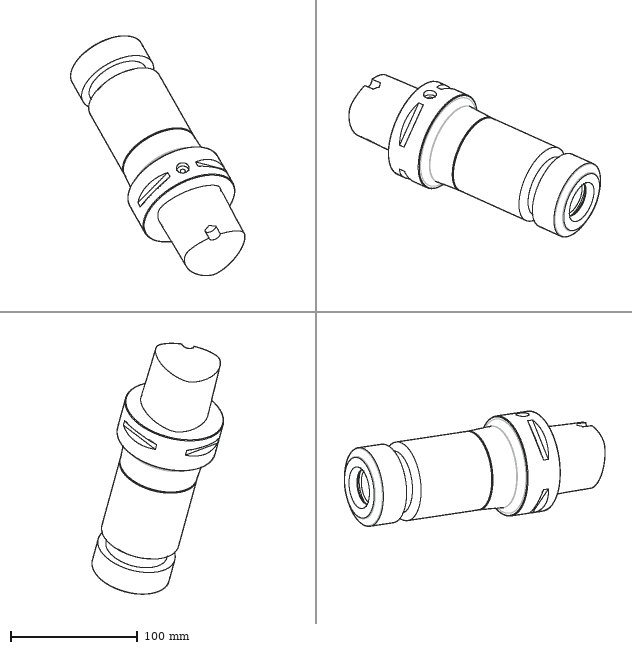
import cadquery as cq
import math

length = 208.0
nut_bevel_end = 4.4
nut_end = 25.4
body_start = 34.3
body_bevel_end = 38.5
relief_start = 102.5
relief_end = 103.5
neck_end = 124.4
fillet_start = 125.0
flange_start = 130.0
flange_end = 160.2
flange_middle = 147.9

nut_face_dia = 48.5
nut_bevel_dia = 50.0
body_dia = 63.0
neck_end_dia = 65.3
flange_dia = 80.0
flange_radius = flange_dia / 2
edge_break = 0.6
relief_depth = 0.2

mouth_dia = 33.3
bore_dia = 28.3
mouth_depth = 5.8
lip_end = 6.7
undercut_end = 9.8
undercut_dia = 35.4
bore_end = 52.0

shank_root_radius = 27.5
shank_tip_radius = 26.5
lobe_height = 2.3
lobe_count = 3
curve_points = 48

groove_count = 4
groove_floor_width = 4.4
groove_top_width = 8.7
groove_floor_distance = 35.5
cut_clearance = 2.0

recess_dia = 10.0
recess_depth = 4.5
pilot_dia = 4.0
pilot_depth = 2.0

notch_dia = 9.8
notch_length = 8.1
notch_tip_length = 2.7
notch_axis_height = 24.1


def revolve_about_x(profile):
    return profile.close().revolve(360, (0, 0, 0), (1, 0, 0))


def turned_body():
    nut_face_radius = nut_face_dia / 2
    bevel_radius = nut_bevel_dia / 2
    body_radius = body_dia / 2
    neck_end_radius = neck_end_dia / 2
    fillet_radius = flange_start - fillet_start
    fillet_outer = neck_end_radius + fillet_radius
    arc_x = fillet_start + fillet_radius * math.sin(math.pi / 4)
    arc_r = fillet_outer - fillet_radius * math.cos(math.pi / 4)
    profile = (
        cq.Workplane("XY")
        .lineTo(0, nut_face_radius)
        .lineTo(edge_break, bevel_radius)
        .lineTo(nut_bevel_end - edge_break, body_radius - edge_break)
        .lineTo(nut_bevel_end, body_radius)
        .lineTo(nut_end, body_radius)
        .lineTo(nut_end, bevel_radius)
        .lineTo(body_start, bevel_radius)
        .lineTo(body_bevel_end, body_radius)
        .lineTo(relief_start, body_radius)
        .lineTo(relief_start, body_radius - relief_depth)
        .lineTo(relief_end, body_radius - relief_depth)
        .lineTo(relief_end, body_radius)
        .lineTo(neck_end, neck_end_radius)
        .lineTo(fillet_start, neck_end_radius)
        .threePointArc((arc_x, arc_r), (flange_start, fillet_outer))
        .lineTo(flange_start, flange_radius - edge_break)
        .lineTo(flange_start + edge_break, flange_radius)
        .lineTo(flange_end - edge_break, flange_radius)
        .lineTo(flange_end, flange_radius - edge_break)
        .lineTo(flange_end, 0)
    )
    return revolve_about_x(profile)


def collet_mouth():
    bore_radius = bore_dia / 2
    profile = (
        cq.Workplane("XY")
        .lineTo(0, mouth_dia / 2)
        .lineTo(mouth_depth, bore_radius)
        .lineTo(lip_end, bore_radius)
        .lineTo(lip_end, undercut_dia / 2)
        .lineTo(undercut_end, undercut_dia / 2)
        .lineTo(undercut_end, bore_radius)
        .lineTo(bore_end, bore_radius)
        .lineTo(bore_end, 0)
    )
    return revolve_about_x(profile)


def lobed_point(mean_radius, angle):
    """Point (y, z) of a constant-width curve; angle is measured from -Z."""
    reach = mean_radius + lobe_height * math.cos(lobe_count * angle)
    slide = -lobe_count * lobe_height * math.sin(lobe_count * angle)
    down = reach * math.cos(angle) - slide * math.sin(angle)
    side = reach * math.sin(angle) + slide * math.cos(angle)
    return side, -down


def lobed_outline(mean_radius):
    step = 2 * math.pi / curve_points
    return [lobed_point(mean_radius, i * step) for i in range(curve_points)]


def shank():
    return (
        cq.Workplane("YZ", origin=(flange_end, 0, 0))
        .spline(lobed_outline(shank_root_radius), periodic=True)
        .close()
        .workplane(offset=length - flange_end)
        .spline(lobed_outline(shank_tip_radius), periodic=True)
        .close()
        .loft(ruled=True)
    )


def gripper_groove(angle):
    """Trapezoidal groove cut straight across the flange rim."""
    slope = (groove_top_width - groove_floor_width) / 2 / (flange_radius - groove_floor_distance)
    cutter_top = flange_radius + cut_clearance
    floor_half = groove_floor_width / 2
    top_half = floor_half + slope * (cutter_top - groove_floor_distance)
    return (
        cq.Workplane("XZ", origin=(flange_middle, 0, 0))
        .moveTo(-floor_half, groove_floor_distance)
        .lineTo(floor_half, groove_floor_distance)
        .lineTo(top_half, cutter_top)
        .lineTo(-top_half, cutter_top)
        .close()
        .extrude(flange_radius, both=True)
        .rotate((0, 0, 0), (1, 0, 0), angle)
    )


def flange_recess():
    """Flat-bottomed round recess with a conical pilot in its floor."""
    floor_z = flange_radius - recess_depth
    recess = (
        cq.Workplane("XY", origin=(flange_middle, 0, floor_z))
        .circle(recess_dia / 2)
        .extrude(recess_depth + cut_clearance)
    )
    pilot = cq.Solid.makeCone(
        pilot_dia / 2, 0, pilot_depth, cq.Vector(flange_middle, 0, floor_z), cq.Vector(0, 0, -1)
    )
    return recess.union(cq.Workplane(obj=pilot))


def drive_notch():
    """Round cutter lying along X with a pointed inner end."""
    shoulder_x = length - notch_length
    profile = (
        cq.Workplane("XY")
        .moveTo(shoulder_x - notch_tip_length, 0)
        .lineTo(shoulder_x, notch_dia / 2)
        .lineTo(length, notch_dia / 2)
        .lineTo(length, 0)
    )
    return revolve_about_x(profile).translate((0, 0, notch_axis_height))


result = turned_body().union(shank()).cut(collet_mouth())
for index in range(groove_count):
    result = result.cut(gripper_groove((index + 0.5) * 360 / groove_count))
result = result.cut(flange_recess()).cut(drive_notch())